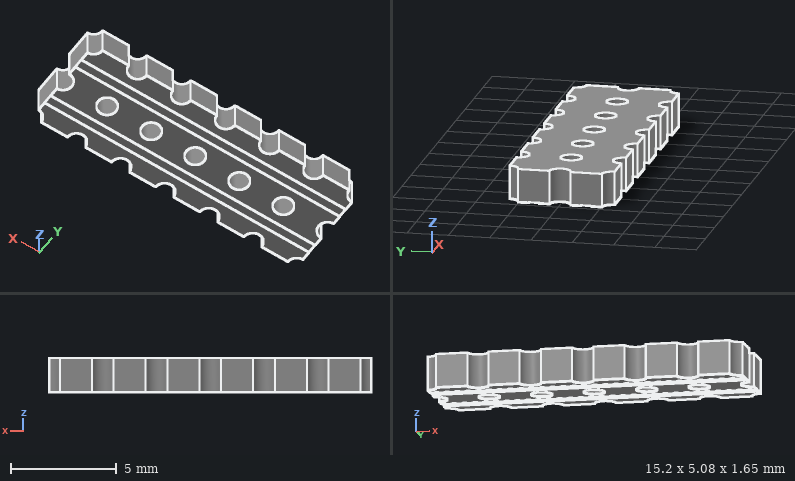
import cadquery as cq

PITCH = 15.24 / 6
COLUMNS = 6
ROWS = 2
HOLE_DIAMETER = 1.02

LENGTH = COLUMNS * PITCH
WIDTH = ROWS * PITCH
HEIGHT = 1.65
STRIP_THICKNESS = 0.038
STRIP_GAP = 0.5
BOARD_THICKNESS = HEIGHT - STRIP_THICKNESS


def row_y(row):
    """Y position of a row of holes."""
    return row * PITCH - WIDTH / 2


def drill(body, rows):
    """Cut a hole at every grid node of the rows; nodes on the outline leave notches."""
    nodes = [
        (column * PITCH - LENGTH / 2, row_y(row))
        for column in range(COLUMNS + 1)
        for row in rows
    ]
    holes = cq.Workplane("XY").pushPoints(nodes).circle(HOLE_DIAMETER / 2).extrude(HEIGHT)
    return body.cut(holes)


def make_board():
    """Rectangular board resting on the strips."""
    blank = (
        cq.Workplane("XY")
        .workplane(offset=STRIP_THICKNESS)
        .rect(LENGTH, WIDTH)
        .extrude(BOARD_THICKNESS)
    )
    return drill(blank, range(ROWS + 1))


def make_strip(row):
    """Strip along X under one row of holes; the outer strips stop at the board edge."""
    half_strip = (PITCH - STRIP_GAP) / 2
    y_min = max(row_y(row) - half_strip, -WIDTH / 2)
    y_max = min(row_y(row) + half_strip, WIDTH / 2)
    blank = (
        cq.Workplane("XY")
        .center(0, (y_min + y_max) / 2)
        .rect(LENGTH, y_max - y_min)
        .extrude(STRIP_THICKNESS)
    )
    return drill(blank, [row])


board = make_board()
strips = [make_strip(row) for row in range(ROWS + 1)]
result = cq.Compound.makeCompound([board.val(), *[strip.val() for strip in strips]])